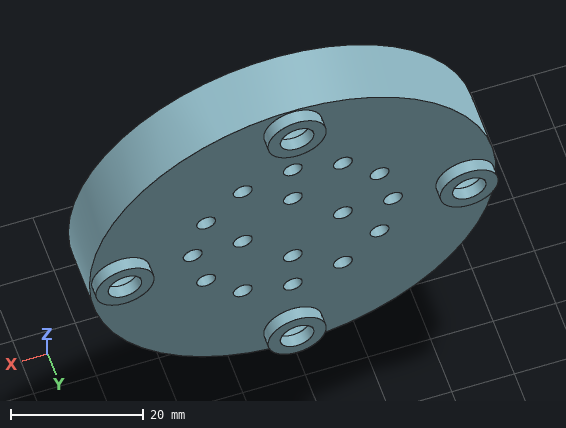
import cadquery as cq

disc_diameter = 65.0
disc_thickness = 10.0
boss_height = 2.0

screw_count = 4
screw_circle_radius = 27.5
screw_diameter = 5.3
counterbore_diameter = 8.5
counterbore_depth = disc_thickness
boss_diameter = 9.3

small_hole_diameter = 3.0
inner_ring_count = 4
inner_ring_radius = 8.0
outer_ring_count = 12
outer_ring_radius = 2 * inner_ring_radius


def ring_of_cylinders(count, ring_radius, diameter, start_y, length):
    """Cylinders along +Y, evenly spaced on a circle and starting at the plane Y = start_y."""
    return (
        cq.Workplane("XZ", origin=(0, start_y, 0))
        .polarArray(ring_radius, 0, 360, count)
        .circle(diameter / 2)
        .extrude(-length)
    )


total_depth = disc_thickness + boss_height

disc = cq.Workplane("XZ").circle(disc_diameter / 2).extrude(-disc_thickness)
bosses = ring_of_cylinders(
    screw_count, screw_circle_radius, boss_diameter, disc_thickness, boss_height
)
screw_holes = ring_of_cylinders(screw_count, screw_circle_radius, screw_diameter, 0, total_depth)
counterbores = ring_of_cylinders(
    screw_count, screw_circle_radius, counterbore_diameter, 0, counterbore_depth
)
inner_holes = ring_of_cylinders(
    inner_ring_count, inner_ring_radius, small_hole_diameter, 0, disc_thickness
)
outer_holes = ring_of_cylinders(
    outer_ring_count, outer_ring_radius, small_hole_diameter, 0, disc_thickness
)

result = (
    disc.union(bosses)
    .cut(screw_holes)
    .cut(counterbores)
    .cut(inner_holes)
    .cut(outer_holes)
)